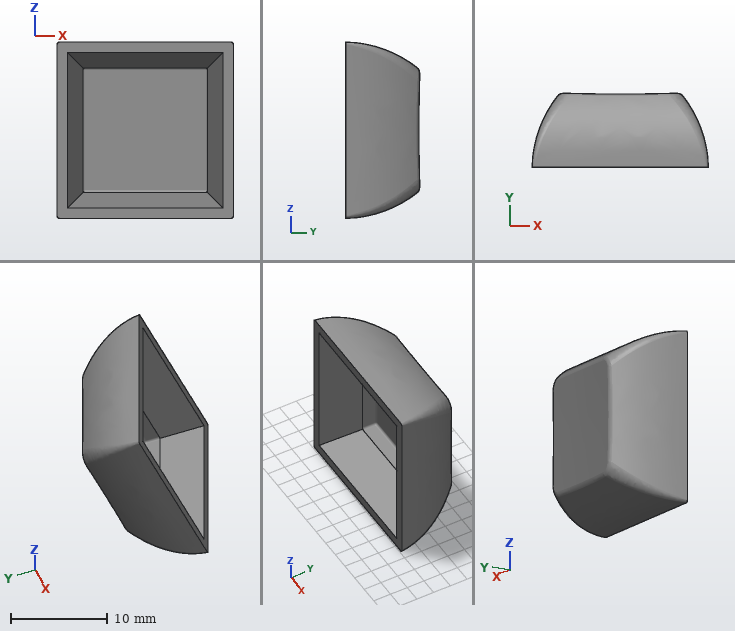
import cadquery as cq
import math

base_width = 18.32
wall_arc_radius = 12.45
wall_arc_center_y = -0.3
base_corner_radius = 0.3
corner_radius_growth = 0.14
loft_height = 8.43
section_count = 6
slab_thickness = 0.18

dish_radius = 181.37
dish_bottom_y = 7.51
rim_fillet = 0.62

mouth_width = 16.12
recess_width = 12.93
taper_depth = 4.27
floor_depth = 5.95
recess_fillet = 0.25


def plane_at(y):
    """Workplane normal to +Y at the given level."""
    return cq.Workplane("XZ", origin=(0, y, 0)).transformed(rotate=(180, 0, 0))


def outer_width(y):
    """Width across opposite walls, following the circular wall arc."""
    def arc_reach(level):
        return math.sqrt(wall_arc_radius**2 - (level - wall_arc_center_y) ** 2)

    return base_width - 2 * (arc_reach(0) - arc_reach(y))


def rounded_square(y):
    """Outer section whose corners get rounder toward the closed end."""
    corner_radius = base_corner_radius + corner_radius_growth * y
    width = outer_width(y)
    slab = plane_at(y).rect(width, width).extrude(slab_thickness).edges("|Y").fillet(corner_radius)
    return slab.faces("<Y").wires().val()


def make_body():
    levels = [loft_height * i / (section_count - 1) for i in range(section_count)]
    sections = [rounded_square(y) for y in levels]
    body = cq.Workplane(cq.Solid.makeLoft(sections))
    dish = cq.Workplane().sphere(dish_radius).translate((0, dish_bottom_y + dish_radius, 0))
    return body.cut(dish).faces(">Y").edges().fillet(rim_fillet)


def make_cavity():
    mouth = (
        plane_at(0).rect(mouth_width, mouth_width)
        .workplane(offset=taper_depth).rect(recess_width, recess_width)
        .loft(ruled=True)
    )
    recess = (
        plane_at(taper_depth).rect(recess_width, recess_width)
        .extrude(floor_depth - taper_depth)
        .edges("|Y or >Y").fillet(recess_fillet)
    )
    return mouth.union(recess)


result = make_body().cut(make_cavity())